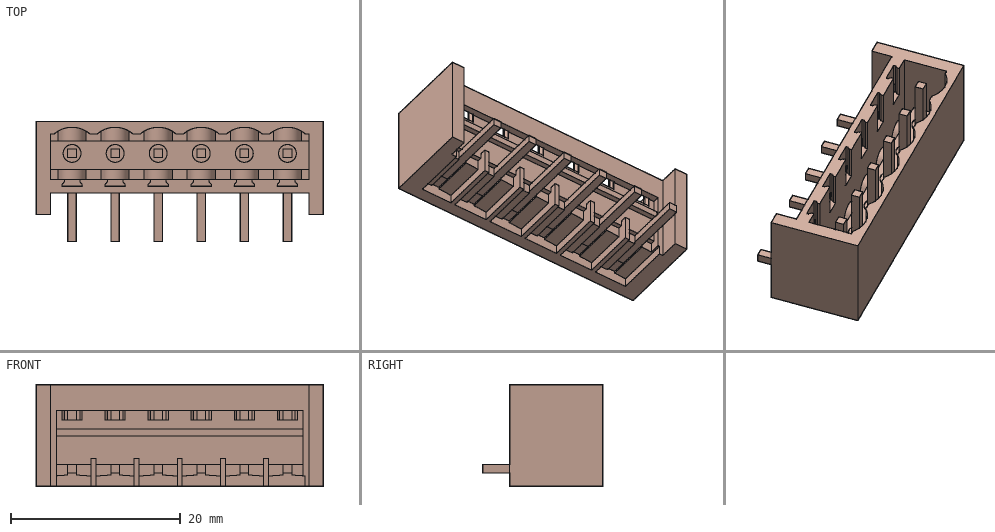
import cadquery as cq
import math


length = 33.88
height = 12.0
arm_reach = 11.0
arm_thickness = 1.7
front_face = 8.47

pin_count = 6
pin_pitch = 5.08
pin_size = 1.0
pin_axis_depth = 3.8
pin_top = 11.15
pin_bottom = 1.55
pin_tip_depth = 14.2
pin_shoulder = pin_bottom + pin_size
pin_rear = pin_axis_depth - pin_size / 2
pin_xs = [(i - (pin_count - 1) / 2) * pin_pitch for i in range(pin_count)]
rib_xs = [x + pin_pitch / 2 for x in pin_xs[:-1]]

cavity_width = length - 2 * arm_thickness
cavity_rear = 1.52
cavity_front = 6.88
scallop_half_width = 2.15
scallop_rear = 0.7

floor_top = 2.7
floor_front = 7.08
hump_radius = 1.42
hump_half_width = 1.65
hump_flank_angle = math.radians(57)
bar_rear = 2.35
bar_front = 5.7
bar_top = 4.75
collar_radius = 1.05
collar_height = 0.17

slot_bottom = 7.83
slot_depth = 0.8
slot_neck_half_width = 0.9
slot_base_half_width = 1.2
slot_neck_depth = 0.27
slot_flare_depth = 0.58

recess_width = 29.15
recess_top = 8.9
recess_plane = 7.62
rail_bottom = 5.93
rail_top = 6.78
rail_front = 8.25
rib_width = 0.58
rib_top = 3.3
rib_front = 8.45

bay_half_width = (pin_pitch - rib_width) / 2
bay_crown = 1.32
bay_spring = 1.2
bays_left = -recess_width / 2
bays_right = 14.77


def block(x_min, x_max, rear, front, z_min, z_max):
    """Box between two X limits, two depths behind the rear face and two heights."""
    size = (x_max - x_min, front - rear, z_max - z_min)
    return cq.Workplane("XY").box(*size, centered=False).translate((x_min, -front, z_min))


def centred_block(x, width, rear, front, z_min, z_max):
    return block(x - width / 2, x + width / 2, rear, front, z_min, z_max)


def along_depth(rear):
    """XZ sketch plane at a depth; extruding from it runs toward the front."""
    return cq.Workplane("XZ", origin=(0, -rear, 0))


def make_pin(x):
    """Square wire bent into an L: an upright contact and a leg running to the front."""
    upright = centred_block(x, pin_size, pin_rear, pin_rear + pin_size, pin_bottom, pin_top)
    leg = centred_block(x, pin_size, pin_rear, pin_tip_depth, pin_bottom, pin_shoulder)
    return upright.union(leg)


def scallop(x):
    """Arc-shaped pocket in the rear wall behind a pin."""
    return (
        cq.Workplane("XY", origin=(0, 0, floor_top))
        .moveTo(x - scallop_half_width, -cavity_rear)
        .threePointArc((x, -scallop_rear), (x + scallop_half_width, -cavity_rear))
        .close()
        .extrude(height - floor_top)
    )


def hump(x):
    """Round-topped ridge over a horizontal leg, with straight flanks tangent to the arc."""
    tangent_x = hump_radius * math.sin(hump_flank_angle)
    tangent_z = floor_top + (hump_half_width - tangent_x) * math.tan(hump_flank_angle)
    crown_z = tangent_z + hump_radius * (1 - math.cos(hump_flank_angle))
    return (
        along_depth(scallop_rear)
        .moveTo(x - hump_half_width, floor_top)
        .lineTo(x - tangent_x, tangent_z)
        .threePointArc((x, crown_z), (x + tangent_x, tangent_z))
        .lineTo(x + hump_half_width, floor_top)
        .close()
        .extrude(cavity_front - scallop_rear)
    )


def collar(x):
    """Low round boss on the bar around an upright leg."""
    base = cq.Workplane("XY", origin=(x, -pin_axis_depth, bar_top))
    return base.circle(collar_radius).extrude(collar_height)


def keying_slot(x):
    """Vertical dovetail slot, narrow at the cavity and wide inside the front wall."""
    half_outline = [
        (slot_neck_half_width, 0),
        (slot_neck_half_width, slot_neck_depth),
        (slot_base_half_width, slot_flare_depth),
        (slot_base_half_width, slot_depth),
    ]
    right = [(x + half, -cavity_front - depth) for half, depth in half_outline]
    left = [(x - half, -cavity_front - depth) for half, depth in reversed(half_outline)]
    return (
        cq.Workplane("XY", origin=(0, 0, slot_bottom))
        .polyline(right + left)
        .close()
        .extrude(height - slot_bottom)
    )


def bay(x):
    """Opening under the floor with a shallow arched ceiling."""
    return (
        along_depth(cavity_rear)
        .moveTo(x - bay_half_width, 0)
        .lineTo(x - bay_half_width, bay_spring)
        .threePointArc((x, bay_crown), (x + bay_half_width, bay_spring))
        .lineTo(x + bay_half_width, 0)
        .close()
        .extrude(front_face - cavity_rear)
    )


def leg_groove(x):
    """Open groove under a horizontal leg, through which the leg is pressed in."""
    return centred_block(x, pin_size, cavity_rear, front_face, 0, pin_bottom)


def make_housing(pins):
    body = centred_block(0, length, 0, arm_reach, 0, height)
    body = body.cut(centred_block(0, cavity_width, front_face, arm_reach, 0, height))

    body = body.cut(centred_block(0, cavity_width, cavity_rear, cavity_front, floor_top, height))
    for x in pin_xs:
        body = body.cut(scallop(x))

    body = body.cut(centred_block(0, recess_width, recess_plane, front_face, 0, recess_top))
    body = body.cut(centred_block(0, recess_width, floor_front, recess_plane, 0, pin_shoulder))

    bay_zone = block(bays_left, bays_right, cavity_rear, front_face, 0, bay_crown)
    for x in pin_xs:
        body = body.cut(bay(x).intersect(bay_zone))

    for x in pin_xs:
        body = body.union(hump(x))
    body = body.union(centred_block(0, cavity_width, bar_rear, bar_front, floor_top, bar_top))
    for x in pin_xs:
        body = body.union(collar(x))

    for x in pin_xs:
        body = body.cut(keying_slot(x))
    body = body.union(centred_block(0, recess_width, recess_plane, rail_front, rail_bottom, rail_top))
    for x in rib_xs:
        body = body.union(centred_block(x, rib_width, floor_front, rib_front, 0, rib_top))

    for x, pin in zip(pin_xs, pins):
        body = body.cut(pin).cut(leg_groove(x))
    return body


pins = [make_pin(x) for x in pin_xs]
housing = make_housing(pins)

result = cq.Compound.makeCompound([housing.val(), *[pin.val() for pin in pins]])